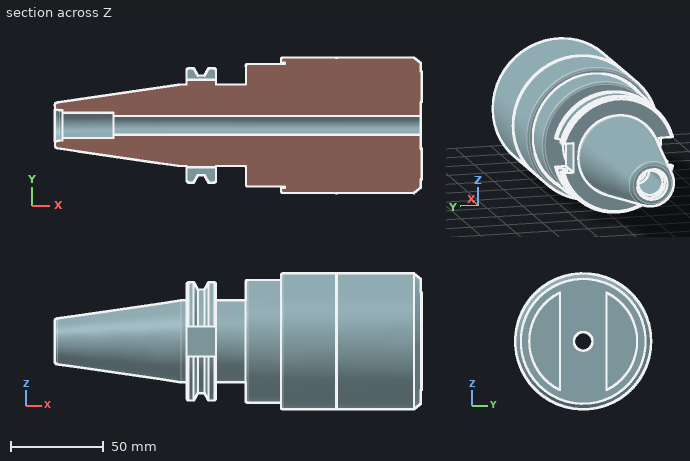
import cadquery as cq
import math

total_length = 198.2

gauge_dia = 44.5
taper_length = 68.2
taper_ratio = 7 / 24
taper_small_dia = gauge_dia - taper_length * taper_ratio
nose_fillet = 1.8

flange_dia = 64.0
flange_start = 71.2
flange_width = 16.0
flange_end = flange_start + flange_width
flange_chamfer = 1.0
groove_floor_dia = 56.3
groove_floor_width = 3.5
groove_center = 79.1
groove_wall_angle = 30
groove_depth = (flange_dia - groove_floor_dia) / 2
groove_mouth_width = groove_floor_width + 2 * groove_depth * math.tan(math.radians(groove_wall_angle))

slot_width = 16.3
slot_floor_plus_y = 24.8
slot_floor_minus_y = 22.6

neck_dia = gauge_dia
body_dia = 66.5
body_start = 103.0
collar_dia = 73.5
collar_start = 122.1
edge_fillet = 1.2
joint_floor_dia = 73.0
recess_dia = 67.5
recess_depth = 2.0
joint_position = 152.0
joint_width = 0.5

boss_dia = 58.3
boss_height = 0.5
boss_slot_width = 25.2
face_position = total_length - boss_height
front_edge_start = 193.9
front_face_dia = 67.5

bore_dia = 10.0
entry_dia = 16.9
entry_depth = 1.2
thread_major_dia = 16.3
thread_start = 2.8
thread_major_depth = 4.2
thread_minor_dia = 13.5
thread_minor_depth = 31.7


def cylinder(diameter, start, end):
    """Cylinder about the X axis between two X positions."""
    return cq.Workplane("YZ").workplane(offset=start).circle(diameter / 2).extrude(end - start)


def revolve_profile(points):
    """Revolve (x, diameter) points, closed along the X axis."""
    outline = [(points[0][0], 0)]
    outline += [(x, diameter / 2) for x, diameter in points]
    outline.append((points[-1][0], 0))
    return cq.Workplane("XY").polyline(outline).close().revolve(360, (0, 0, 0), (1, 0, 0))


def make_shank():
    taper = revolve_profile([(0, taper_small_dia), (taper_length, gauge_dia)])
    taper = taper.faces("<X").edges().fillet(nose_fillet)
    return taper.union(cylinder(neck_dia, taper_length, body_start))


def cut_drive_slot(flange, floor, side):
    outer = flange_dia
    slot = cq.Workplane("XY").box(flange_width, outer - floor, slot_width)
    return flange.cut(slot.translate((flange_start + flange_width / 2, side * (outer + floor) / 2, 0)))


def make_flange():
    groove_start = groove_center - groove_mouth_width / 2
    groove_end = groove_center + groove_mouth_width / 2
    face_dia = flange_dia - 2 * flange_chamfer
    flange = revolve_profile([
        (flange_start, face_dia),
        (flange_start + flange_chamfer, flange_dia),
        (groove_start, flange_dia),
        (groove_center - groove_floor_width / 2, groove_floor_dia),
        (groove_center + groove_floor_width / 2, groove_floor_dia),
        (groove_end, flange_dia),
        (flange_end - flange_chamfer, flange_dia),
        (flange_end, face_dia),
    ])
    flange = cut_drive_slot(flange, slot_floor_plus_y, 1)
    return cut_drive_slot(flange, slot_floor_minus_y, -1)


def make_body():
    body = cylinder(body_dia, body_start, collar_start + recess_depth)
    return body.faces("<X").edges().fillet(edge_fillet)


def make_collar():
    collar = revolve_profile([
        (collar_start, collar_dia),
        (joint_position - joint_width / 2, collar_dia),
        (joint_position, joint_floor_dia),
        (joint_position + joint_width / 2, collar_dia),
        (front_edge_start, collar_dia),
        (face_position, front_face_dia),
    ])
    collar = collar.faces("<X").edges().fillet(edge_fillet)
    recess_end = collar_start + recess_depth
    return collar.cut(cylinder(recess_dia, collar_start, recess_end))


def make_boss():
    boss = cylinder(boss_dia, face_position, total_length)
    slot = cq.Workplane("XY").box(boss_height, boss_slot_width, boss_dia)
    return boss.cut(slot.translate((face_position + boss_height / 2, 0, 0)))


def make_bore():
    return revolve_profile([
        (0, entry_dia),
        (entry_depth, entry_dia),
        (thread_start, thread_major_dia),
        (thread_major_depth, thread_major_dia),
        (thread_major_depth, thread_minor_dia),
        (thread_minor_depth, thread_minor_dia),
        (thread_minor_depth, bore_dia),
        (total_length, bore_dia),
    ])


holder = make_shank().union(make_flange()).union(make_body()).union(make_collar()).union(make_boss())
result = holder.cut(make_bore())